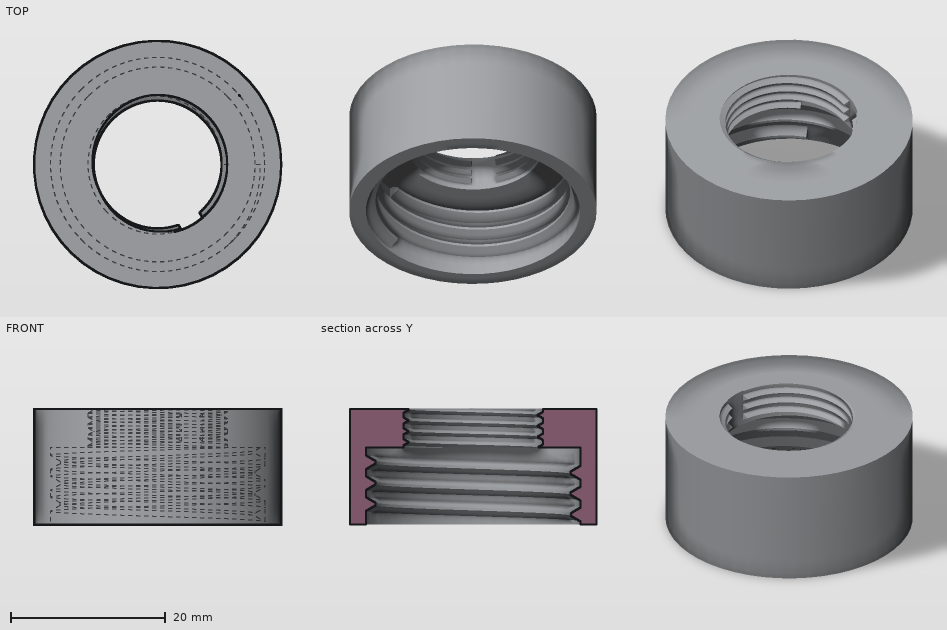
import cadquery as cq
import math

outer_diameter = 32.0
height = 15.0
shoulder_z = 10.0

upper_bore_diameter = 18.0
upper_ridge_depth = 0.75
upper_pitch = 1.4
upper_crest_width = 0.0
upper_flank_angle = 30.0
upper_base_width = 2 * upper_ridge_depth * math.tan(math.radians(upper_flank_angle))
upper_start_z = shoulder_z
upper_turns = 4.0

lower_bore_diameter = 27.7
lower_minor_diameter = 25.2
lower_ridge_depth = (lower_bore_diameter - lower_minor_diameter) / 2
lower_pitch = 2.7
lower_crest_width = 0.35
lower_base_width = 1.83
lower_start_z = lower_pitch / 2
lower_turns = 3.0

gap_width = 3.14
gap_angle = -60.0

ridge_embed = 0.15


def cylinder(diameter, bottom_z, top_z):
    return cq.Workplane("XY", origin=(0, 0, bottom_z)).circle(diameter / 2).extrude(top_z - bottom_z)


def helical_ridge(bore_diameter, depth, crest_width, base_width, pitch, turns, start_z):
    """Internal thread ridge that starts on the +X axis and climbs right-handed."""
    bore_radius = bore_diameter / 2
    crest_radius = bore_radius - depth
    embedded_radius = bore_radius + ridge_embed
    flank_slope = (base_width - crest_width) / 2 / depth
    half_crest = crest_width / 2
    half_embedded = base_width / 2 + ridge_embed * flank_slope

    outline = [(embedded_radius, -half_embedded), (crest_radius, -half_crest)]
    if half_crest > 0:
        outline.append((crest_radius, half_crest))
    outline.append((embedded_radius, half_embedded))

    path = cq.Wire.makeHelix(pitch, pitch * turns, bore_radius)
    ridge = cq.Workplane("XZ").polyline(outline).close().sweep(path, isFrenet=True)
    return ridge.translate((0, 0, start_z))


def upper_ridge():
    ridge = helical_ridge(
        upper_bore_diameter, upper_ridge_depth, upper_crest_width, upper_base_width,
        upper_pitch, upper_turns, upper_start_z,
    )
    gap = (
        cq.Workplane("XY")
        .box(outer_diameter / 2, gap_width, height, centered=(False, True, False))
        .rotate((0, 0, 0), (0, 0, 1), gap_angle)
    )
    return ridge.intersect(cylinder(outer_diameter, shoulder_z, height)).cut(gap)


def lower_ridge():
    ridge = helical_ridge(
        lower_bore_diameter, lower_ridge_depth, lower_crest_width, lower_base_width,
        lower_pitch, lower_turns, lower_start_z,
    )
    return ridge.intersect(cylinder(outer_diameter, 0, shoulder_z))


def body():
    blank = cylinder(outer_diameter, 0, height)
    lower_bore = cylinder(lower_bore_diameter, 0, shoulder_z)
    upper_bore = cylinder(upper_bore_diameter, shoulder_z, height)
    return blank.cut(lower_bore).cut(upper_bore)


result = body().union(lower_ridge()).union(upper_ridge())